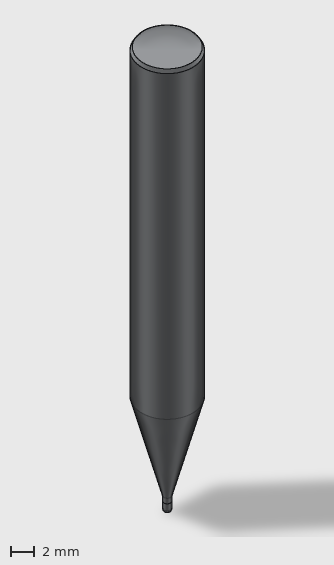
import cadquery as cq
import math

overall_length = 50.8
shank_diameter = 6.35
chamfer_height = 0.35
chamfer_width = 0.2
cutter_diameter = 0.8
neck_diameter = 0.8
cutter_length = 1.15
neck_length = 0.6
shank_length = 38.15

shank_radius = shank_diameter / 2
cutter_radius = cutter_diameter / 2
neck_radius = neck_diameter / 2
neck_top = cutter_length + neck_length
cone_top = overall_length - shank_length


def revolve_about_z(profile):
    """Turn a closed radius-height profile once around the tool axis."""
    return profile.revolve(360, (0, 0, 0), (0, 1, 0))


def make_cutter():
    """Cylindrical cutting end with a hemispherical nose."""
    nose_center = cutter_radius
    arc_offset = cutter_radius * math.sqrt(0.5)
    profile = (
        cq.Workplane("XZ")
        .moveTo(0, 0)
        .threePointArc(
            (arc_offset, nose_center - arc_offset),
            (cutter_radius, nose_center),
        )
        .lineTo(cutter_radius, cutter_length)
        .lineTo(0, cutter_length)
        .close()
    )
    return revolve_about_z(profile)


def make_shank():
    """Short neck, tapered transition and cylindrical shank with a chamfered end."""
    profile = (
        cq.Workplane("XZ")
        .moveTo(0, cutter_length)
        .lineTo(neck_radius, cutter_length)
        .lineTo(neck_radius, neck_top)
        .lineTo(shank_radius, cone_top)
        .lineTo(shank_radius, overall_length - chamfer_height)
        .lineTo(shank_radius - chamfer_width, overall_length)
        .lineTo(0, overall_length)
        .close()
    )
    return revolve_about_z(profile)


cutter = make_cutter()
shank = make_shank()

result = cq.Compound.makeCompound([cutter.val(), shank.val()])